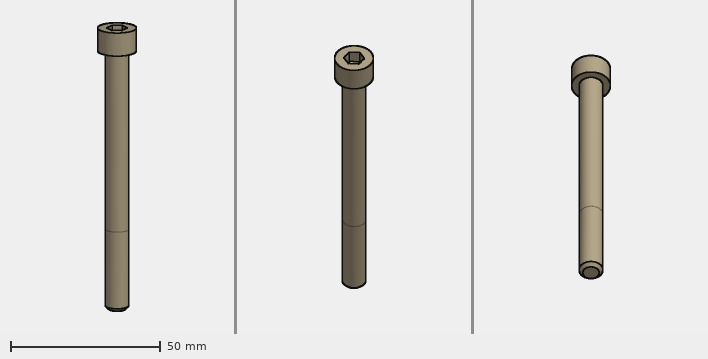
import cadquery as cq
import math

total_length = 98.0
head_diameter = 13.0
shank_diameter = 8.0
head_height = shank_diameter
thread_length = 28.0
tip_chamfer = 1.3
socket_across_flats = 6.0
socket_depth = head_height / 2

shank_length = total_length - head_height
plain_length = shank_length - thread_length


def make_head():
    """Cylindrical head with a hexagon socket, corners pointing along X."""
    across_corners = socket_across_flats / math.cos(math.pi / 6)
    head = cq.Workplane("XY").circle(head_diameter / 2).extrude(head_height)
    return head.faces(">Z").workplane().polygon(6, across_corners).cutBlind(-socket_depth)


def make_shank():
    """Plain shank followed by the threaded length, with a chamfered tip."""
    plain = cq.Workplane("XY").circle(shank_diameter / 2).extrude(-plain_length)
    threaded = (
        cq.Workplane("XY", origin=(0, 0, -plain_length))
        .circle(shank_diameter / 2)
        .extrude(-thread_length)
        .faces("<Z")
        .chamfer(tip_chamfer)
    )
    return plain.union(threaded, clean=False)


result = make_head().union(make_shank(), clean=False)